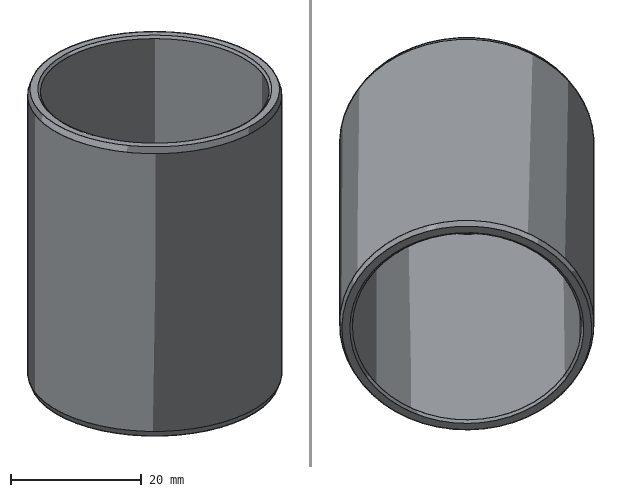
import cadquery as cq
import math

outer_diameter = 39.0
inner_diameter = 35.05
length = 50.0

outer_chamfer_length = 1.0
outer_chamfer_angle = 20.0
inner_chamfer_size = 0.4

outer_radius = outer_diameter / 2
inner_radius = inner_diameter / 2
half_length = length / 2
outer_chamfer_depth = outer_chamfer_length * math.tan(math.radians(outer_chamfer_angle))


def wall_profile():
    """Half section of the wall, as (distance from axis, height) points."""
    outer_end_radius = outer_radius - outer_chamfer_depth
    inner_end_radius = inner_radius + inner_chamfer_size
    outer_shoulder = half_length - outer_chamfer_length
    inner_shoulder = half_length - inner_chamfer_size
    return [
        (inner_radius, -inner_shoulder),
        (inner_end_radius, -half_length),
        (outer_end_radius, -half_length),
        (outer_radius, -outer_shoulder),
        (outer_radius, outer_shoulder),
        (outer_end_radius, half_length),
        (inner_end_radius, half_length),
        (inner_radius, inner_shoulder),
    ]


result = (
    cq.Workplane("XZ")
    .polyline(wall_profile())
    .close()
    .revolve(360, (0, 0, 0), (0, 1, 0))
)